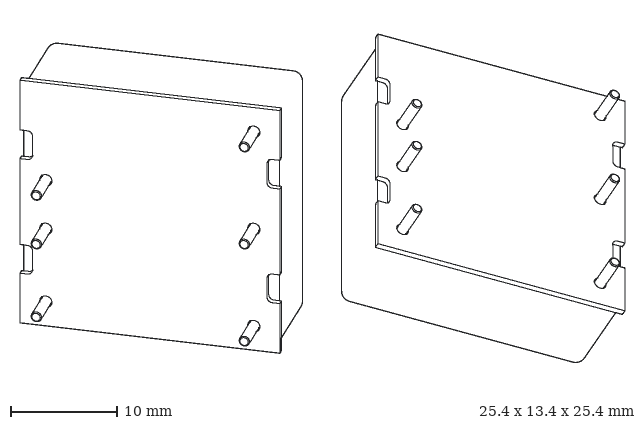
import cadquery as cq

plate_side = 25.4
plate_thickness = 0.6

overall_depth = 13.4
pin_length = 3.5

case_inset = 0.2
case_side = plate_side - 2 * case_inset
case_back = overall_depth - pin_length
case_radius = 1.02

notch_height = 3.0
notch_depth = 1.25
notch_radius = 0.5
notch_offset = 6.0

pin_diameter = 1.02
pin_chamfer = 0.1
pin_hole_diameter = 1.2
grid = 2.55
pin_positions = [
    (-4 * grid, grid),
    (-4 * grid, -grid),
    (-4 * grid, -4 * grid),
    (4 * grid, 4 * grid),
    (4 * grid, 0),
    (4 * grid, -4 * grid),
]


def block(side, front, back):
    """Square block centred on the Y axis, between two Y levels."""
    return cq.Workplane("XY").box(side, back - front, side).translate((0, (front + back) / 2, 0))


def make_case():
    """Box with its side corners and its back rim rounded."""
    case = block(case_side, plate_thickness, case_back)
    return case.edges("|Y or >Y").fillet(case_radius)


def make_notch(side, z):
    """Cutter for one notch: open at the plate edge, with rounded inner corners."""
    notch = cq.Workplane("XY").box(2 * notch_depth, plate_thickness, notch_height)
    notch = notch.edges("|Y").fillet(notch_radius)
    return notch.translate((side * plate_side / 2, plate_thickness / 2, z))


def make_pin_hole(x, z):
    """Cutter for the clearance hole through the plate around one pin."""
    hole = cq.Workplane("XZ").circle(pin_hole_diameter / 2).extrude(-plate_thickness)
    return hole.translate((x, 0, z))


def make_plate():
    """Plate with its edge notches and the clearance holes for the pins."""
    plate = block(plate_side, 0, plate_thickness)
    for side in (-1, 1):
        for z in (-notch_offset, notch_offset):
            plate = plate.cut(make_notch(side, z))
    for x, z in pin_positions:
        plate = plate.cut(make_pin_hole(x, z))
    return plate


def make_pin(x, z):
    """Round pin rising from the case front through the plate, ending in a chamfered tip."""
    pin = cq.Workplane("XZ", origin=(x, plate_thickness, z))
    pin = pin.circle(pin_diameter / 2).extrude(plate_thickness + pin_length)
    return pin.faces("<Y").chamfer(pin_chamfer)


result = make_case().union(make_plate())
for x, z in pin_positions:
    result = result.union(make_pin(x, z))